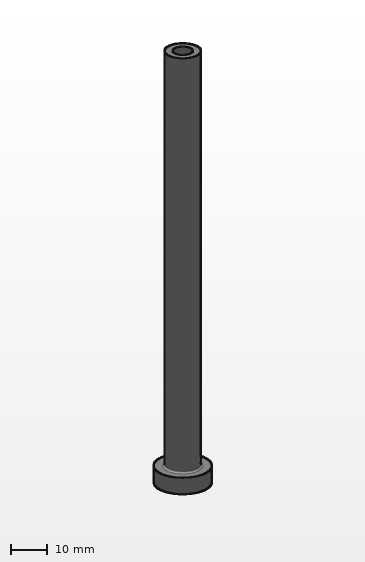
import cadquery as cq

overall_length = 130.0
head_diameter = 16.0
head_thickness = 5.0
tube_diameter = 10.0
bore_diameter = 5.5
neck_fillet_radius = 0.5


def make_body():
    """Head with its bottom face at Z = 0 and the tube rising from it."""
    head = cq.Workplane("XY").circle(head_diameter / 2).extrude(head_thickness)
    tube = cq.Workplane("XY").circle(tube_diameter / 2).extrude(overall_length)
    return head.union(tube)


def fillet_neck(body):
    """Round the inner corner where the tube meets the top of the head."""
    neck_edge = cq.selectors.RadiusNthSelector(0)
    head_top = body.faces(cq.selectors.NearestToPointSelector((0, 0, head_thickness)))
    return head_top.edges(neck_edge).fillet(neck_fillet_radius)


def cut_bore(body):
    """Drill the bore along the full length."""
    bore = cq.Workplane("XY").circle(bore_diameter / 2).extrude(overall_length)
    return body.cut(bore)


result = cut_bore(fillet_neck(make_body()))